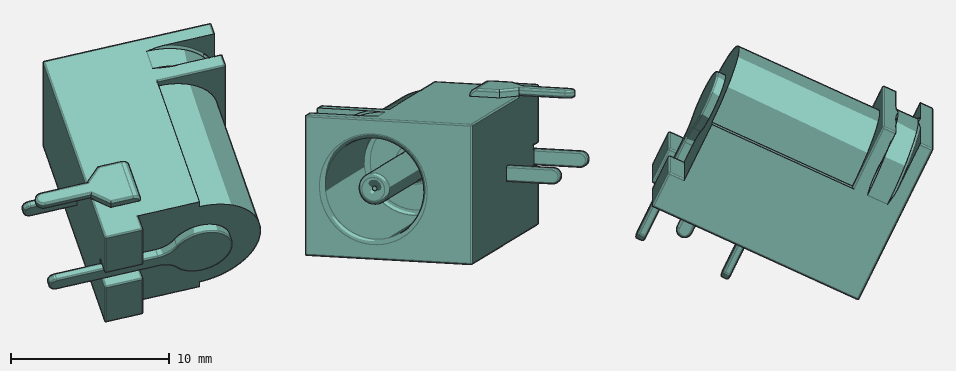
import cadquery as cq
import math


height = 9.0
flange_width = 11.0
flange_length = 3.5
body_end = 13.3
foot_end = 14.4
foot_width = 2.5
edge_radius = 0.1

axis_y = 6.5
axis_z = height / 2
barrel_radius = 4.0

groove_width = 1.7
groove_start = (flange_length - groove_width) / 2
groove_end = groove_start + groove_width
groove_radius = flange_width - axis_y
groove_fillet = 0.15

bore_radius = 3.25
bore_depth = 9.0
bore_fillet = 0.3
contact_radius = 1.0
contact_tip_radius = 0.25
contact_base_radius = 0.3
dimple_radius = 0.15
dimple_depth = 0.3

pin_width = 1.0
pin_length = 3.5
pin_thickness = 0.5
rear_pin_thickness = 0.55
pin_edge_radius = 0.1
side_pin_start = 7.45

plate_thickness = 0.6
plate_radius = 2.0
plate_neck_radius = 1.5

notch_height = 1.5

tab_center = 10.7
tab_width = 3.0
tab_back = 3.0
tab_edge_radius = 0.15
tab_shoulder = 1.0


def box(start, end):
    """Box between two opposite corners."""
    sizes = [end[i] - start[i] for i in range(3)]
    return cq.Workplane("XY").box(*sizes, centered=False).translate(start)


def plug_axis_plane(x):
    """Workplane facing +X, centred on the plug axis (local X is +Y, local Y is +Z)."""
    return cq.Workplane("YZ", origin=(x, axis_y, axis_z))


def make_housing():
    """Flange, square body and a foot split by the notch, with rounded outer edges."""
    flange = box((0, 0, 0), (flange_length, flange_width, height)).edges().fillet(edge_radius)
    body = box((edge_radius, 0, 0), (body_end, axis_y, height)).edges("|X and <Y").fillet(edge_radius)
    housing = flange.union(body)
    notch_bottom = axis_z - notch_height / 2
    notch_top = axis_z + notch_height / 2
    for bottom, top in ((0, notch_bottom), (notch_top, height)):
        foot = box((flange_length, 0, bottom), (foot_end, foot_width, top))
        housing = housing.union(foot.edges().fillet(edge_radius))
    return housing


def make_barrel():
    """Round housing wall around the plug axis."""
    return plug_axis_plane(edge_radius).circle(barrel_radius).extrude(body_end - edge_radius)


def make_groove():
    """Cutter for the groove: half of a ring with filleted floor corners."""
    outer_radius = 2 * groove_radius
    ring = plug_axis_plane(groove_start).circle(outer_radius).circle(groove_radius).extrude(groove_width)
    ring = ring.edges(cq.selectors.RadiusNthSelector(0)).fillet(groove_fillet)
    reach = box((groove_start, axis_y, 0), (groove_end, flange_width, height))
    return ring.intersect(reach)


def make_socket():
    """Cutter for the plug bore, leaving the centre contact standing in it.

    The half profile has its local X along the plug axis and its local Y as the radius.
    """
    diagonal = math.sqrt(0.5)

    def arc_middle(center_x, center_r, radius, sign_x, sign_r):
        return (center_x + sign_x * radius * diagonal, center_r + sign_r * radius * diagonal)

    mouth_radius = bore_radius + bore_fillet
    floor_x = bore_depth - bore_fillet
    base_x = bore_depth - contact_base_radius
    base_radius = contact_radius + contact_base_radius
    tip_flat_radius = contact_radius - contact_tip_radius
    profile = (
        cq.Workplane("XZ", origin=(0, axis_y, axis_z))
        .moveTo(0, mouth_radius)
        .threePointArc(
            arc_middle(bore_fillet, mouth_radius, bore_fillet, -1, -1),
            (bore_fillet, bore_radius),
        )
        .lineTo(floor_x, bore_radius)
        .threePointArc(
            arc_middle(floor_x, bore_radius - bore_fillet, bore_fillet, 1, 1),
            (bore_depth, bore_radius - bore_fillet),
        )
        .lineTo(bore_depth, base_radius)
        .threePointArc(
            arc_middle(base_x, base_radius, contact_base_radius, 1, -1),
            (base_x, contact_radius),
        )
        .lineTo(contact_tip_radius, contact_radius)
        .threePointArc(
            arc_middle(contact_tip_radius, tip_flat_radius, contact_tip_radius, -1, 1),
            (0, tip_flat_radius),
        )
        .close()
    )
    return profile.revolve(360, (0, 0, 0), (1, 0, 0))


def make_dimple():
    """Cutter for the flat-bottomed dimple in the contact tip, flared out to the tip rounding."""
    flare_end = contact_radius - contact_tip_radius
    flare_span = flare_end - dimple_radius
    flare_radius = (flare_span**2 + dimple_depth**2) / (2 * dimple_depth)
    profile = (
        cq.Workplane("XZ", origin=(0, axis_y, axis_z))
        .moveTo(0, 0)
        .lineTo(dimple_depth, 0)
        .lineTo(dimple_depth, dimple_radius)
        .radiusArc((0, flare_end), flare_radius)
        .close()
    )
    return profile.revolve(360, (0, 0, 0), (1, 0, 0))


def make_pin(start_y, thickness, rounding=pin_edge_radius):
    """Flat pin with a round end and rounded edges, on z = 0, from start_y towards -Y."""
    half = pin_width / 2
    shoulder_y = half - pin_length
    pin = (
        cq.Workplane("XY")
        .moveTo(-half, start_y)
        .lineTo(-half, shoulder_y)
        .threePointArc((0, -pin_length), (half, shoulder_y))
        .lineTo(half, start_y)
        .close()
        .extrude(thickness)
    )
    return pin.faces("<Z or >Z").edges().fillet(rounding)


def stand_on_edge(pin, start_x):
    """Turn a flat pin so its thickness runs along +X from start_x, centred on the axis."""
    return pin.rotate((0, 0, 0), (0, 1, 0), 90).translate((start_x, 0, axis_z))


def make_side_pin():
    """Pin standing out of the -Y face of the housing."""
    return stand_on_edge(make_pin(foot_width, pin_thickness), side_pin_start)


def make_rear_contact():
    """Round plate on the rear face, blended down into the rear pin."""
    half = pin_width / 2
    blend_x = half + plate_neck_radius
    center_distance = plate_radius + plate_neck_radius
    blend_drop = math.sqrt(center_distance**2 - blend_x**2)
    blend_y = axis_y - blend_drop
    tangent_x = blend_x * plate_radius / center_distance
    tangent_y = axis_y - blend_drop * plate_radius / center_distance
    middle_angle = (math.pi + math.atan2(tangent_y - blend_y, tangent_x - blend_x)) / 2
    middle_x = blend_x + plate_neck_radius * math.cos(middle_angle)
    middle_y = blend_y + plate_neck_radius * math.sin(middle_angle)
    plate = (
        cq.Workplane("XY")
        .moveTo(-half, 0)
        .lineTo(half, 0)
        .lineTo(half, blend_y)
        .threePointArc((middle_x, middle_y), (tangent_x, tangent_y))
        .threePointArc((0, axis_y + plate_radius), (-tangent_x, tangent_y))
        .threePointArc((-middle_x, middle_y), (-half, blend_y))
        .close()
        .extrude(plate_thickness)
    )
    plate = plate.faces(">Z").edges("not <Y").fillet(pin_edge_radius)
    pin = make_pin(foot_width, rear_pin_thickness)
    pin = pin.translate((0, 0, plate_thickness - rear_pin_thickness))
    return stand_on_edge(plate.union(pin), body_end)


def make_tab():
    """Tab lying on the top face: rounded back edge, tapering into a pin."""
    half = tab_width / 2
    half_pin = pin_width / 2
    taper_end = tab_shoulder - (half - half_pin)
    head = (
        cq.Workplane("XY")
        .moveTo(-half, tab_back)
        .lineTo(-half, tab_shoulder)
        .lineTo(-half_pin, taper_end)
        .lineTo(half_pin, taper_end)
        .lineTo(half, tab_shoulder)
        .lineTo(half, tab_back)
        .close()
        .extrude(pin_thickness)
    )
    nose_y = tab_back - pin_thickness
    nose = (
        cq.Workplane("YZ", origin=(-half, 0, 0))
        .moveTo(taper_end, 0)
        .lineTo(tab_back, 0)
        .radiusArc((nose_y, pin_thickness), -pin_thickness)
        .lineTo(taper_end, pin_thickness)
        .close()
        .extrude(tab_width)
    )
    head = head.intersect(nose)
    head = head.faces(">Z").edges("not (<Y or >Y)").fillet(tab_edge_radius)
    tab = head.union(make_pin(tab_shoulder, pin_thickness, tab_edge_radius))
    return tab.translate((tab_center, 0, height))


def make_tab_root():
    """Fills the rounded top edge of the housing beneath the tab's pin."""
    return box(
        (tab_center - pin_width / 2, 0, height - edge_radius),
        (tab_center + pin_width / 2, edge_radius, height),
    )


result = make_housing().union(make_barrel()).cut(make_groove())
result = result.cut(make_socket()).cut(make_dimple())
for addition in (make_side_pin(), make_rear_contact(), make_tab_root(), make_tab()):
    result = result.union(addition)